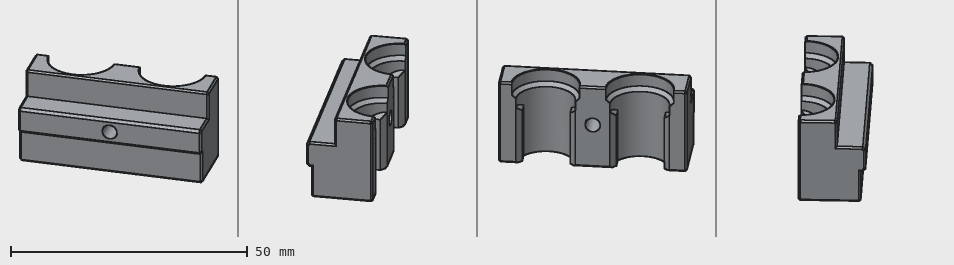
import cadquery as cq

length = 40.0
depth = 14.2
height = 19.0

upper_depth = 8.2
lower_depth = 13.2
ledge_top = 12.9
ledge_bottom = 7.1
ledge_chamfer = 0.6
edge_chamfer = 0.4

seat_spacing = length / 2
seat_radius = 7.2
seat_lip = 0.1
seat_wall_height = 2.8
throat_radius = 6.3
throat_wall_height = 2.1
cone_top = height - seat_wall_height
cone_bottom = cone_top - (seat_radius - throat_radius)
shoulder_top = cone_bottom - throat_wall_height

slot_half_width = 5.1
slot_chamfer = throat_radius - slot_half_width

hole_diameter = 3.2
hole_z = (ledge_top + ledge_bottom) / 2


def make_body():
    """Extrude the stepped profile along X and break its edges."""
    profile = [
        (0, 0),
        (-lower_depth, 0),
        (-lower_depth, ledge_bottom),
        (-depth, ledge_bottom),
        (-depth, ledge_top),
        (-upper_depth, ledge_top),
        (-upper_depth, height),
        (0, height),
    ]
    body = cq.Workplane("YZ").polyline(profile).close().extrude(length / 2, both=True)
    ledge_edges = cq.selectors.BoxSelector(
        (-length, -depth - edge_chamfer, 0), (length, -depth + edge_chamfer, height)
    )
    body = body.edges("|X").edges(ledge_edges).chamfer(ledge_chamfer)
    for face in ("<Z", ">Z"):
        for side in ("<Y", ">Y"):
            body = body.faces(face).edges("|X").edges(side).chamfer(edge_chamfer)
    return body.faces("<X or >X").edges().chamfer(edge_chamfer)


def make_bore():
    """Revolved cutter: lipped seat, conical shoulder and straight throat."""
    half_section = [
        (0, 0),
        (throat_radius, 0),
        (throat_radius, cone_bottom),
        (seat_radius, cone_top),
        (seat_radius, height - seat_lip),
        (seat_radius + seat_lip, height),
        (0, height),
    ]
    return cq.Workplane("XZ").polyline(half_section).close().revolve(360, (0, 0), (0, 1))


def make_opening_limit():
    """Region the bore may cut: full width above, narrowed by sloping shoulders below."""
    shoulder_bottom = shoulder_top - slot_chamfer
    full_width = 2 * (seat_radius + seat_lip)
    upper = cq.Workplane("XY", origin=(0, 0, shoulder_top)).rect(full_width, full_width)
    upper = upper.extrude(height - shoulder_top)
    slot_section = [
        (-slot_half_width, 0),
        (slot_half_width, 0),
        (slot_half_width, shoulder_bottom),
        (throat_radius, shoulder_top),
        (-throat_radius, shoulder_top),
        (-slot_half_width, shoulder_bottom),
    ]
    slot = cq.Workplane("XZ").polyline(slot_section).close().extrude(throat_radius, both=True)
    return upper.union(slot)


def make_slot_flare():
    """Vertical wedge bevelling the slot's edges at the back face."""
    flare = [
        (-throat_radius, 0),
        (throat_radius, 0),
        (slot_half_width, -slot_chamfer),
        (-slot_half_width, -slot_chamfer),
    ]
    return cq.Workplane("XY").polyline(flare).close().extrude(shoulder_top)


def make_cross_hole():
    """Cylinder running through the block along Y."""
    hole = cq.Workplane("XZ", origin=(0, 0, hole_z)).circle(hole_diameter / 2)
    return hole.extrude(depth)


result = make_body().cut(make_cross_hole())
seat = make_bore().intersect(make_opening_limit()).union(make_slot_flare())
for seat_x in (-seat_spacing / 2, seat_spacing / 2):
    result = result.cut(seat.translate((seat_x, 0, 0)))